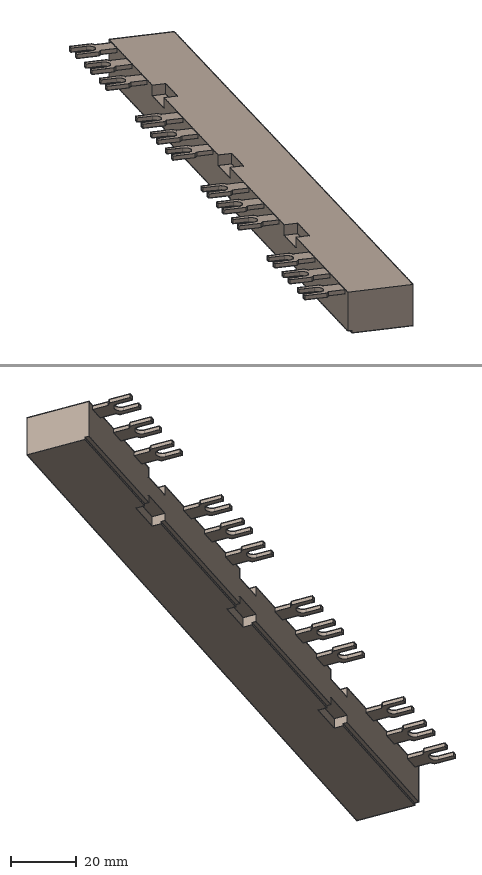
import cadquery as cq

length = 228.2
total_depth = 34.2
height = 13.5
body_depth = 21.0
rabbet_depth = 1.4
rabbet_height = 0.8

group_pitch = 63.0
group_count = 4

forks_per_group = 3
fork_pitch = 14.4
fork_length = total_depth - body_depth
fork_thickness = 1.4
fork_drop = 0.11
fork_width = 7.3
neck_width = 5.2
neck_length = 5.2
shoulder_length = 1.0
slot_width = 4.0
slot_length = 7.0
fork_root = 1.1
forks_span = (group_count - 1) * group_pitch + (forks_per_group - 1) * fork_pitch
first_fork_x = (length - forks_span) / 2

notch_width = 11.2
notch_depth = 4.3
notch_height = 3.5
first_notch_x = 47.0
notch_count = group_count - 1


def make_housing():
    """Long bar with its front face at Y = 0 and a shallow step along its lower front edge."""
    return (
        cq.Workplane("YZ")
        .moveTo(body_depth, 0)
        .lineTo(body_depth, height)
        .lineTo(0, height)
        .lineTo(0, rabbet_height)
        .lineTo(rabbet_depth, rabbet_height)
        .lineTo(rabbet_depth, 0)
        .close()
        .extrude(length)
    )


def make_notch_pair(x):
    """Cutters for the notches in the upper and lower front edges, centred on x."""
    notch = cq.Workplane("XY").box(notch_width, notch_depth, notch_height, centered=(True, False, False))
    lower = notch.translate((x, 0, 0))
    upper = notch.translate((x, 0, height - notch_height))
    return lower.union(upper)


def make_fork(x):
    """Flat forked terminal centred on x, with its root embedded in the housing."""
    half_neck = neck_width / 2
    half_fork = fork_width / 2
    shoulder_y = -neck_length - shoulder_length
    slot_radius = slot_width / 2
    slot_end_y = slot_length - fork_length
    arc_start_y = slot_end_y - slot_radius
    return (
        cq.Workplane("XY")
        .moveTo(-half_neck, fork_root)
        .lineTo(-half_neck, -neck_length)
        .lineTo(-half_fork, shoulder_y)
        .lineTo(-half_fork, -fork_length)
        .lineTo(-slot_radius, -fork_length)
        .lineTo(-slot_radius, arc_start_y)
        .threePointArc((0, slot_end_y), (slot_radius, arc_start_y))
        .lineTo(slot_radius, -fork_length)
        .lineTo(half_fork, -fork_length)
        .lineTo(half_fork, shoulder_y)
        .lineTo(half_neck, -neck_length)
        .lineTo(half_neck, fork_root)
        .close()
        .extrude(fork_thickness)
        .translate((x, 0, height - fork_drop - fork_thickness))
    )


result = make_housing()

for notch_index in range(notch_count):
    result = result.cut(make_notch_pair(first_notch_x + notch_index * group_pitch))

for group_index in range(group_count):
    group_x = first_fork_x + group_index * group_pitch
    for fork_index in range(forks_per_group):
        result = result.union(make_fork(group_x + fork_index * fork_pitch))